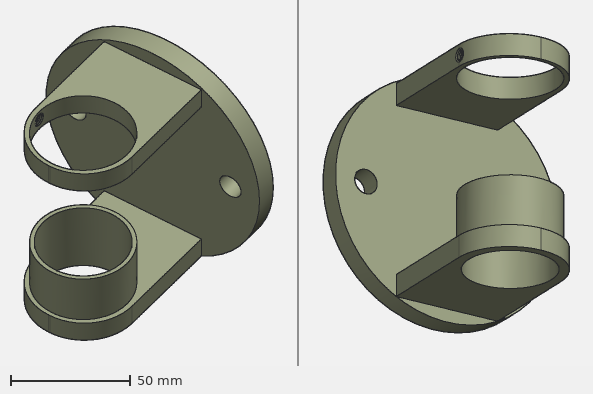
import cadquery as cq

plate_diameter = 110.0
plate_thickness = 10.0
mount_hole_diameter = 11.0
mount_hole_spacing = 80.0

arm_width = 50.0
arm_length = 74.5
arm_thickness = 10.0
arm_nose_flat = 0.5
corner_radius = (arm_width - arm_nose_flat) / 2
ring_center_y = -arm_width
upper_arm_bottom = 38.0
lower_arm_bottom = -49.0

tube_outer_diameter = 45.0
tube_inner_diameter = 41.0
tube_height = 23.5

thread_minor_diameter = 4.6
thread_major_diameter = 6.0
thread_pitch = 0.8
thread_turns = 4


def make_plate():
    """Disc with two mounting holes on its horizontal centre line."""
    disc = cq.Workplane("XZ").circle(plate_diameter / 2).extrude(-plate_thickness)
    half_spacing = mount_hole_spacing / 2
    holes = (
        cq.Workplane("XZ")
        .pushPoints([(-half_spacing, 0), (half_spacing, 0)])
        .circle(mount_hole_diameter / 2)
        .extrude(-plate_thickness)
    )
    return disc.cut(holes)


def make_arm_blank(bottom_z):
    """Flat arm whose rounded front corners leave a narrow flat on the nose."""
    return (
        cq.Workplane("XY", origin=(0, -arm_length / 2, bottom_z))
        .rect(arm_width, arm_length)
        .extrude(arm_thickness)
        .edges("|Z and <Y")
        .fillet(corner_radius)
    )


def make_cylinder(diameter, bottom_z, height):
    """Upright cylinder on the axis of the ring."""
    return cq.Workplane("XY", origin=(0, ring_center_y, bottom_z)).circle(diameter / 2).extrude(height)


def make_thread_cutter():
    """Set screw hole with its thread simplified to a row of V grooves."""
    minor_radius = thread_minor_diameter / 2
    major_radius = thread_major_diameter / 2
    depth = thread_turns * thread_pitch
    profile = cq.Workplane("XY").moveTo(0, 0).lineTo(0, major_radius)
    for turn in range(thread_turns):
        start = turn * thread_pitch
        profile = profile.lineTo(start + thread_pitch / 2, minor_radius)
        profile = profile.lineTo(start + thread_pitch, major_radius)
    cutter = profile.lineTo(depth, 0).close().revolve(360, (0, 0, 0), (1, 0, 0))
    return cutter.translate((-arm_width / 2, ring_center_y, upper_arm_bottom + arm_thickness / 2))


def make_upper_arm():
    """Arm with the ring hole and the set screw hole."""
    ring_hole = make_cylinder(tube_outer_diameter, upper_arm_bottom, arm_thickness)
    return make_arm_blank(upper_arm_bottom).cut(ring_hole).cut(make_thread_cutter())


def make_lower_arm():
    """Arm with the tube socket standing on it and the bore running through both."""
    tube = make_cylinder(tube_outer_diameter, lower_arm_bottom + arm_thickness, tube_height)
    bore = make_cylinder(tube_inner_diameter, lower_arm_bottom, arm_thickness + tube_height)
    return make_arm_blank(lower_arm_bottom).union(tube).cut(bore)


plate = make_plate()
upper_arm = make_upper_arm()
lower_arm = make_lower_arm()

result = cq.Compound.makeCompound([plate.val(), upper_arm.val(), lower_arm.val()])